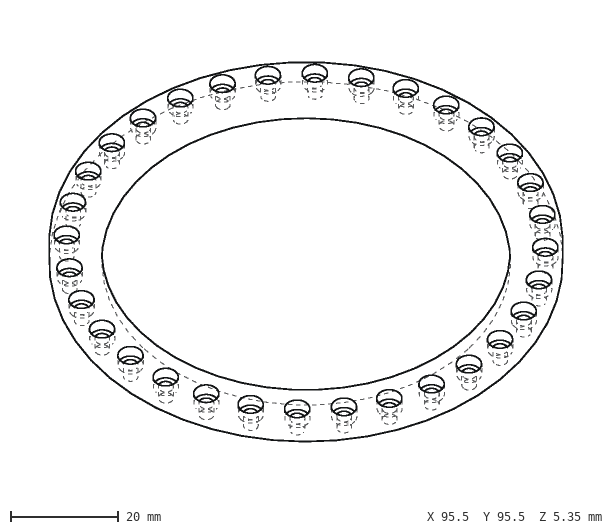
import cadquery as cq

outer_diameter = 95.5
bore_diameter = 75.9
thickness = 5.35
rim_fillet = 0.5
bore_fillet = 2.5

hole_count = 32
bolt_circle_diameter = 89.0
first_hole_angle = -2.0
hole_diameter = 2.8
counterbore_diameter = 4.7
counterbore_depth = 2.5


def ring_body():
    """Flat ring, rounded along its upper rim and into the bore."""
    disc = cq.Workplane("XY").circle(outer_diameter / 2).extrude(thickness)
    disc = disc.faces(">Z").edges().fillet(rim_fillet)
    ring = disc.faces(">Z").workplane().hole(bore_diameter)
    bore_edge = cq.selectors.RadiusNthSelector(0)
    return ring.faces(">Z").edges(bore_edge).fillet(bore_fillet)


def drill_bolt_holes(ring):
    """Evenly spaced through holes, counterbored from the top face."""
    return (
        ring.faces(">Z")
        .workplane(origin=(0, 0, thickness))
        .polarArray(bolt_circle_diameter / 2, first_hole_angle, 360, hole_count)
        .cboreHole(hole_diameter, counterbore_diameter, counterbore_depth)
    )


result = drill_bolt_holes(ring_body())